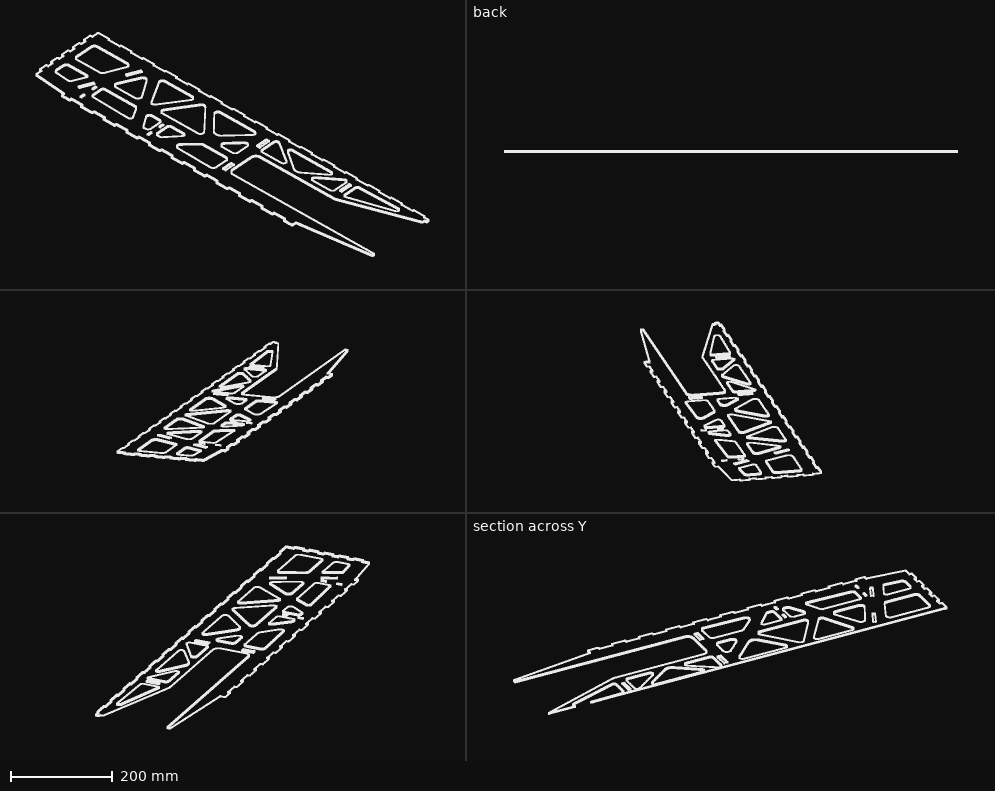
import cadquery as cq
import math

length = 888.0
depth = 195.0
thickness = 3.0

top_tab_count = 15
top_tabs_span = 839.0
tab_pitch = top_tabs_span / (top_tab_count - 1)
tab_width = tab_pitch / 2
top_tab_height = 3.0
bottom_tab_height = 5.0
bottom_tab_start = 138.5
bottom_tab_count = 9
end_tab_height = 5.0
end_tab_pitch = 32.0
end_tab_width = 19.5
end_tab_start = 31.0
end_tab_count = 5

body_left = end_tab_height
body_top = depth - top_tab_height
body_bottom = bottom_tab_height
bottom_left_x = 88.0
left_corner_y = 15.0
left_slope_end_y = 7.0
bottom_right_x = 701.0
lower_arm_root_y = 11.0
first_tab_end = bottom_tab_start - tab_pitch + tab_width
last_tab_start = bottom_tab_start + bottom_tab_count * tab_pitch

arm_end = length - end_tab_height
fork_left = 495.0
fork_bottom = 40.0
fork_top = 118.0
fork_radius = 12.0
upper_arm_bend_x = 706.0
tip_tab_bottom = 186.0
lower_arm_tip_y = 35.0
upper_arm_tip_y = 179.0

pocket_radius = 7.0
end_pocket_left = 25.0
truss_top = 170.5
truss_bottom = 91.0
lower_top = 72.0
web_right = 466.0
arm_pocket_bottom = 131.0
arm_pocket_top = 177.0
arm_pocket_peak = 183.0

slanted_slot_width = 5.0
web_slot_left = 479.0
web_slot_right = 487.0
narrow_slot_width = 3.0
narrow_slot_length = 10.0


def block(x0, x1, y0, y1):
    """Plate-thick rectangle spanning the given limits."""
    return cq.Workplane("XY").box(x1 - x0, y1 - y0, thickness, centered=False).translate((x0, y0, 0))


def rounded_prism(corners):
    """Plate-thick polygon from (x, y, corner radius) triples; radius 0 leaves a sharp corner."""
    prism = cq.Workplane("XY").polyline([(x, y) for x, y, _ in corners]).close().extrude(thickness)
    for x, y, radius in corners:
        if radius > 0:
            corner = cq.selectors.BoxSelector((x - 0.1, y - 0.1, -9), (x + 0.1, y + 0.1, 9))
            prism = prism.edges("|Z").edges(corner).fillet(radius)
    return prism


def pocket(points, radius=pocket_radius):
    """Through pocket with the same radius in every corner."""
    return rounded_prism([(x, y, radius) for x, y in points])


def slanted_slot(start, end, width):
    """Rectangular slot along the line from start to end."""
    dx = end[0] - start[0]
    dy = end[1] - start[1]
    middle = ((start[0] + end[0]) / 2, (start[1] + end[1]) / 2, 0)
    angle = math.degrees(math.atan2(dy, dx))
    slot = cq.Workplane("XY").rect(math.hypot(dx, dy), width).extrude(thickness)
    return slot.rotate((0, 0, 0), (0, 0, 1), angle).translate(middle)


plate = rounded_prism([
    (body_left, body_top, 0),
    (body_left, left_corner_y, 0),
    (bottom_left_x, left_slope_end_y, 0),
    (bottom_left_x, body_bottom, 0),
    (bottom_right_x, body_bottom, 0),
    (bottom_right_x, lower_arm_root_y, 0),
    (arm_end, lower_arm_tip_y, 0),
    (arm_end, fork_bottom, 0),
    (fork_left, fork_bottom, fork_radius),
    (fork_left, fork_top, fork_radius),
    (upper_arm_bend_x, fork_top, 0),
    (arm_end, upper_arm_tip_y, 0),
    (arm_end, tip_tab_bottom, 0),
    (length, tip_tab_bottom, 0),
    (length, body_top, 0),
])

for i in range(top_tab_count):
    x = body_left + i * tab_pitch
    plate = plate.union(block(x, x + tab_width, body_top, depth))

for i in range(bottom_tab_count):
    x = bottom_tab_start + i * tab_pitch
    plate = plate.union(block(x, x + tab_width, 0, body_bottom))
plate = plate.union(block(bottom_left_x, first_tab_end, 0, body_bottom))
plate = plate.union(block(last_tab_start, bottom_right_x, 0, body_bottom))

for i in range(end_tab_count):
    y = end_tab_start + i * end_tab_pitch
    plate = plate.union(block(0, body_left, y, y + end_tab_width))

cutouts = [
    pocket([(end_pocket_left, 162.5), (125.0, 162.5), (99.0, 104.0), (end_pocket_left, 104.0)], 8.0),
    rounded_prism([
        (end_pocket_left, 81.0, 8.0), (87.0, 81.0, 4.0), (69.0, 43.0, 4.0), (end_pocket_left, 46.0, 8.0),
    ]),
]

cutouts += [
    pocket([(136.0, truss_bottom), (214.0, truss_bottom), (170.5, 160.0)], 8.0),
    pocket([(194.0, truss_top), (292.0, truss_top), (237.0, 93.0)]),
    pocket([(258.0, truss_bottom), (383.0, truss_bottom), (313.5, truss_top)]),
    rounded_prism([(337.0, truss_top, 7.0), (461.0, truss_top, 7.0), (395.0, 106.0, 14.0)]),
    pocket([(413.0, truss_bottom), (web_right, truss_bottom), (web_right, 144.0)], 8.0),
]

cutouts += [
    pocket([(131.0, lower_top), (221.0, lower_top), (242.0, 34.0), (131.0, 37.0)], 5.0),
    pocket([(249.0, lower_top), (289.0, lower_top), (289.0, 32.0), (274.0, 32.0)]),
    pocket([(307.0, lower_top), (358.0, lower_top), (321.5, 32.0), (307.0, 32.0)], 5.0),
    pocket([(395.0, lower_top), (web_right, lower_top), (web_right, 27.0), (351.0, 29.0)], 8.0),
]

cutouts += [
    pocket([(fork_left, arm_pocket_peak), (fork_left, arm_pocket_bottom), (572.0, arm_pocket_bottom)], 6.0),
    rounded_prism([(522.0, arm_pocket_top, 5.0), (660.0, arm_pocket_top, 5.0), (591.0, 128.0, 15.0)]),
    pocket([(687.0, arm_pocket_peak), (687.0, arm_pocket_bottom), (615.0, arm_pocket_bottom)], 6.0),
    pocket([(711.0, arm_pocket_top), (856.0, 180.0), (711.0, 134.0)], 5.0),
]

cutouts += [
    slanted_slot((138.0, 133.0), (151.0, 162.5), slanted_slot_width),
    slanted_slot((95.0, 42.0), (108.0, 71.0), slanted_slot_width),
    block(web_slot_left, web_slot_right, 138.5, 167.0),
    block(web_slot_left, web_slot_right, 40.0, 65.0),
    block(695.0, 701.0, 144.0, 171.0),
]

for x in (119.0, 297.5):
    for y in (21.0, 55.0):
        half_width = narrow_slot_width / 2
        cutouts.append(block(x - half_width, x + half_width, y, y + narrow_slot_length))

for cutout in cutouts:
    plate = plate.cut(cutout)

result = plate